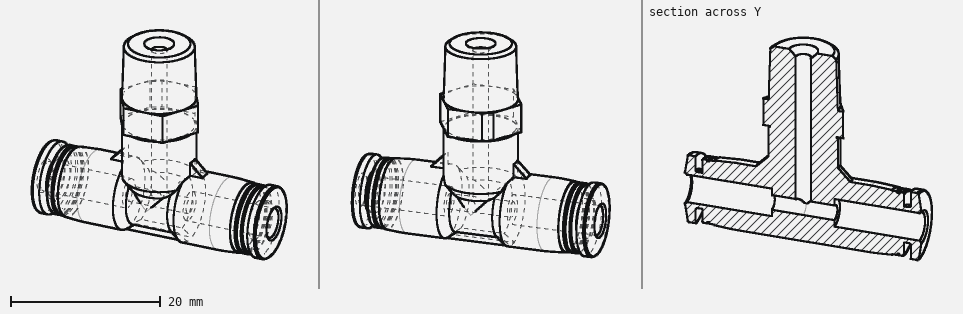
import cadquery as cq
import math

length = 34.0
body_d = 10.0
stem_top = 23.2
half_length = length / 2
body_r = body_d / 2

core_r = 3.98
port_inner_x = 4.5
port_cone_x = 3.05
stem_cone_top = 3.55
stem_cone_bottom = 2.1

cap_face_r = 2.3
cap_edge_r = 4.85
cap_edge = 0.4
cap_rim = 0.65
cap_back = 1.6
neck_r = 5.4 / 2
neck_flare = 0.17
ring_start = 2.48
ring_end = 3.25
collar_start = 3.47
collar_end = 4.25
ring_r = 9.5 / 2
ring_bevel = 0.2
collar_bevel = 0.15
groove_r = 4.52
barrel_start_r = 4.83
barrel_mid_r = 9.9 / 2
barrel_end = 7.2

stem_bevel = 0.2
hex_bottom = 11.22
hex_top = 15.2
hex_cut_distance = 5.3
hex_cut_angle = 120
thread_top_r = 4.75
thread_bevel_top_r = 4.18
thread_bevel = 0.45

bore_r = 2.1 / 2
socket_r = 4.0 / 2
socket_bevel = 0.3
countersink_depth = socket_r - bore_r

rib_width = 1.53
gusset_height = 1.77


def make_port():
    """Solid port on the +X side, turned around the X axis."""
    front_profile = [
        (0, 0),
        (0, cap_face_r),
        (cap_edge, cap_edge_r),
        (cap_rim, body_r),
        (cap_back, body_r),
        (cap_back, neck_r + neck_flare),
        (cap_back + neck_flare, neck_r),
        (ring_start, neck_r),
        (ring_start, ring_r - ring_bevel),
        (ring_start + ring_bevel, ring_r),
        (ring_end, ring_r),
        (ring_end, groove_r),
        (collar_start, groove_r),
        (collar_start, ring_r - collar_bevel),
        (collar_start + collar_bevel, ring_r),
        (collar_end, ring_r),
        (collar_end, barrel_start_r),
    ]
    front_points = [(half_length - depth, radius) for depth, radius in front_profile]
    barrel_mid_x = half_length - (collar_end + barrel_end) / 2
    return (
        cq.Workplane("XY")
        .polyline(front_points)
        .threePointArc((barrel_mid_x, barrel_mid_r), (half_length - barrel_end, body_r))
        .lineTo(port_inner_x, body_r)
        .lineTo(port_cone_x, core_r)
        .lineTo(0, core_r)
        .lineTo(0, 0)
        .close()
        .revolve(360, (0, 0, 0), (1, 0, 0))
    )


def make_stem():
    """Stem and tapered thread, turned around the Z axis."""
    points = [
        (0, 0),
        (core_r, 0),
        (core_r, stem_cone_bottom),
        (body_r, stem_cone_top),
        (body_r, hex_bottom - stem_bevel),
        (body_r - stem_bevel, hex_bottom),
        (body_r, hex_top),
        (thread_top_r, stem_top - thread_bevel),
        (thread_bevel_top_r, stem_top),
        (0, stem_top),
    ]
    return cq.Workplane("XZ").polyline(points).close().revolve(360, (0, 0, 0), (0, 1, 0))


def make_hex():
    """Hexagon with corners on X and one corner cut flat as an orientation mark."""
    height = hex_top - hex_bottom
    corner_d = body_d / math.cos(math.radians(30))
    nut = cq.Workplane("XY", origin=(0, 0, hex_bottom)).polygon(6, corner_d).extrude(height)
    cutter = (
        cq.Workplane("XY")
        .box(body_d, body_d, height, centered=(False, True, False))
        .translate((hex_cut_distance, 0, hex_bottom))
        .rotate((0, 0, 0), (0, 0, 1), hex_cut_angle)
    )
    return nut.cut(cutter)


def make_ribs():
    """Gussets between the ports and the stem, and a rib joining the ports underneath."""
    gusset_x = body_r + gusset_height
    gusset_points = [
        (-gusset_x, body_r),
        (-body_r, gusset_x),
        (-core_r, gusset_x),
        (-core_r, core_r),
        (-gusset_x, core_r),
    ]
    gusset = cq.Workplane("XZ").polyline(gusset_points).close().extrude(rib_width / 2, both=True)
    bottom_rib = cq.Workplane("XY").box(2 * port_inner_x, rib_width, body_r, centered=(True, True, False))
    bottom_rib = bottom_rib.translate((0, 0, -body_r))
    return gusset.union(gusset.mirror("YZ")).union(bottom_rib)


def make_socket():
    """Tube socket of the +X port, with a bevelled mouth."""
    points = [
        (port_inner_x, 0),
        (port_inner_x, socket_r),
        (half_length - socket_bevel, socket_r),
        (half_length, cap_face_r),
        (half_length, 0),
    ]
    return cq.Workplane("XY").polyline(points).close().revolve(360, (0, 0, 0), (1, 0, 0))


def make_stem_bore():
    """Countersunk bore from the top of the stem down to the port axis."""
    points = [
        (0, 0),
        (bore_r, 0),
        (bore_r, stem_top - countersink_depth),
        (socket_r, stem_top),
        (0, stem_top),
    ]
    return cq.Workplane("XZ").polyline(points).close().revolve(360, (0, 0, 0), (0, 1, 0))


port = make_port()
socket = make_socket()
cross_bore = cq.Workplane("YZ").circle(bore_r).extrude(half_length, both=True)

body = port.union(port.mirror("YZ")).union(make_stem()).union(make_hex()).union(make_ribs())
result = body.cut(socket).cut(socket.mirror("YZ")).cut(cross_bore).cut(make_stem_bore())